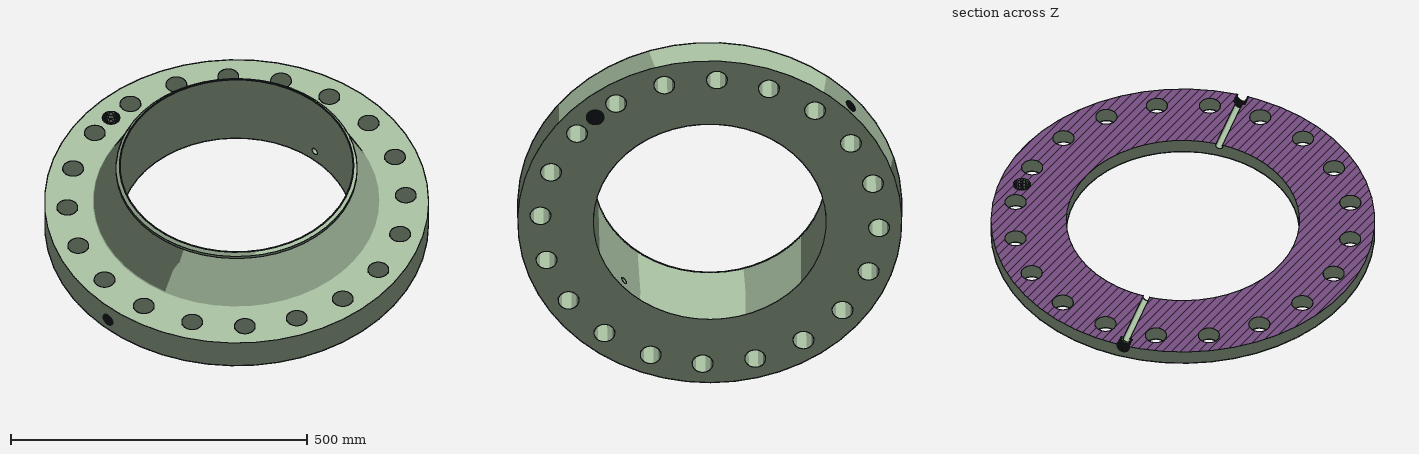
import cadquery as cq
import math

flange_diameter = 648.0
flange_thickness = 57.0
overall_height = 146.0
bore_diameter = 392.5

hub_base_diameter = 482.5
weld_end_diameter = 407.0
weld_land_height = 5.0
root_face = 1.6
bevel_angle = 37.5
hub_fillet = 3.0

bolt_count = 20
bolt_hole_diameter = 35.0
bolt_circle_diameter = 571.0

jack_major_diameter = 30.0
jack_minor_diameter = 26.5
jack_pitch = 3.5

tap_height = 22.5
tap_major_diameter = 21.5
tap_minor_diameter = 18.0
tap_pitch = 1.8
tap_thread_turns = 11
tap_drill_diameter = 12.0

flange_radius = flange_diameter / 2
bore_radius = bore_diameter / 2
bolt_circle_radius = bolt_circle_diameter / 2
cut_margin = 6.5


def flange_body():
    """Flange ring with the tapered hub and the bevelled weld end, revolved about Z."""
    weld_radius = weld_end_diameter / 2
    root_radius = bore_radius + root_face
    bevel_height = (weld_radius - root_radius) * math.tan(math.radians(bevel_angle))
    land_top = overall_height - bevel_height
    land_bottom = land_top - weld_land_height
    body = (
        cq.Workplane("XZ")
        .moveTo(bore_radius, 0)
        .lineTo(flange_radius, 0)
        .lineTo(flange_radius, flange_thickness)
        .lineTo(hub_base_diameter / 2, flange_thickness)
        .lineTo(weld_radius, land_bottom)
        .lineTo(weld_radius, land_top)
        .lineTo(root_radius, overall_height)
        .lineTo(bore_radius, overall_height)
        .close()
        .revolve(360, (0, 0), (0, 1))
    )
    hub_base_edge = cq.selectors.RadiusNthSelector(-2)
    return body.edges("%CIRCLE").edges(hub_base_edge).fillet(hub_fillet)


def thread_cutter(major_diameter, minor_diameter, pitch, turns):
    """Threaded hole about Z from z = 0 upward, its thread shown as V-shaped ring grooves."""
    major_radius = major_diameter / 2
    minor_radius = minor_diameter / 2
    profile = cq.Workplane("XZ").lineTo(major_radius, 0)
    for turn in range(turns):
        profile = profile.lineTo(minor_radius, (turn + 0.5) * pitch)
        profile = profile.lineTo(major_radius, (turn + 1) * pitch)
    return profile.lineTo(0, turns * pitch).close().revolve(360, (0, 0), (0, 1))


def bolt_holes():
    """Through holes straddling the X and Y axes."""
    half_step = 180 / bolt_count
    return (
        cq.Workplane("XY")
        .polarArray(bolt_circle_radius, half_step, 360, bolt_count)
        .circle(bolt_hole_diameter / 2)
        .extrude(flange_thickness)
    )


def jack_screw_hole():
    """Threaded hole through the full flange thickness."""
    turns = math.ceil(flange_thickness / jack_pitch)
    cutter = thread_cutter(jack_major_diameter, jack_minor_diameter, jack_pitch, turns)
    return cutter.translate((-bolt_circle_radius, 0, 0))


def radial_tap(side_angle):
    """Threaded mouth in the rim, continued by a drilled hole into the bore."""
    thread = thread_cutter(tap_major_diameter, tap_minor_diameter, tap_pitch, tap_thread_turns)
    drill_length = flange_radius - bore_radius + cut_margin
    drill = cq.Workplane("XY").circle(tap_drill_diameter / 2).extrude(drill_length)
    return (
        thread.union(drill)
        .rotate((0, 0, 0), (1, 0, 0), -90)
        .translate((0, -flange_radius, tap_height))
        .rotate((0, 0, 0), (0, 0, 1), side_angle)
    )


result = flange_body().cut(bolt_holes()).cut(jack_screw_hole())
for side_angle in (0, 180):
    result = result.cut(radial_tap(side_angle))